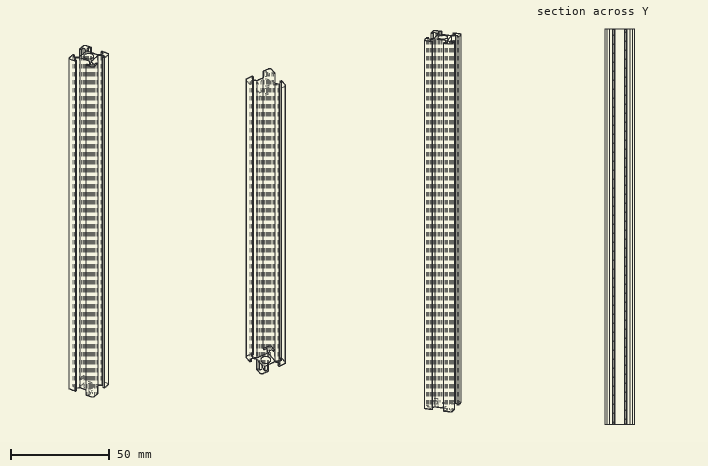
import cadquery as cq
import math

length = 200.0
width = 15.0

slot_opening = 6.2
lip_thickness = 1.0
corner_block = 3.0
corner_radius = 1.0
core_width = 7.2
web_thickness = 1.0
bore_diameter = 5.0

half_width = width / 2


def extruded_box(x_size, y_size):
    """Full-length rectangular bar centred on the Z axis."""
    return cq.Workplane("XY").rect(x_size, y_size).extrude(length)


def corner_profile():
    """L-shaped lips with a thick block in the +X +Y corner."""
    lip_end = slot_opening / 2
    lip_inside = half_width - lip_thickness
    block_inside = half_width - corner_block
    return (
        cq.Workplane("XY")
        .moveTo(lip_end, half_width)
        .lineTo(half_width - corner_radius, half_width)
        .radiusArc((half_width, half_width - corner_radius), corner_radius)
        .lineTo(half_width, lip_end)
        .lineTo(lip_inside, lip_end)
        .lineTo(lip_inside, block_inside)
        .lineTo(block_inside, block_inside)
        .lineTo(block_inside, lip_inside)
        .lineTo(lip_end, lip_inside)
        .close()
        .extrude(length)
    )


block_centre = half_width - corner_block / 2
web_length = 2 * math.hypot(block_centre, block_centre)
web = extruded_box(web_length, web_thickness)
body = extruded_box(core_width, core_width)
for web_angle in (45, 135):
    body = body.union(web.rotate((0, 0, 0), (0, 0, 1), web_angle))

corner = corner_profile()
for corner_angle in (0, 90, 180, 270):
    body = body.union(corner.rotate((0, 0, 0), (0, 0, 1), corner_angle))

bore = cq.Workplane("XY").circle(bore_diameter / 2).extrude(length)
result = body.cut(bore)